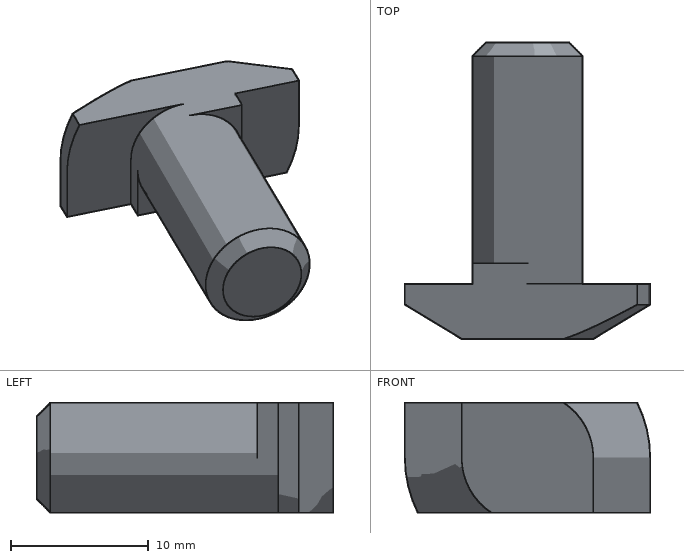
import cadquery as cq

total_length = 21.5
head_width = 17.8
shank_diameter = 8.0
head_thickness = 4.0
rim_thickness = 1.5
taper_run = 4.13
neck_depth = 1.5
end_chamfer = 0.99

head_radius = head_width / 2
face_radius = head_radius - taper_run
shank_radius = shank_diameter / 2
taper_depth = head_thickness - rim_thickness
neck_end = head_thickness + neck_depth


def half_section():
    """Half section of the head, from the axis out to +X."""
    return (
        cq.Workplane("XY")
        .moveTo(0, 0)
        .lineTo(face_radius, 0)
        .lineTo(head_radius, taper_depth)
        .lineTo(head_radius, head_thickness)
        .lineTo(0, head_thickness)
        .close()
    )


def half_turn(quadrant):
    """Copy a quadrant to the diagonally opposite side of the bolt axis."""
    return quadrant.union(quadrant.rotate((0, 0, 0), (0, 1, 0), 180))


def make_head():
    """Hammer head: two rounded quadrants and two square ones, cut to the shank height."""
    round_head = half_section().revolve(360, (0, 0, 0), (0, 1, 0))
    upper_right = cq.Workplane("XY").box(
        head_radius, head_thickness, shank_radius, centered=False
    )
    rounded = round_head.intersect(half_turn(upper_right))
    square = half_turn(half_section().extrude(-shank_radius))
    return rounded.union(square)


def make_neck():
    """Square corners under the head, in line with its square quadrants."""
    lower_right = cq.Workplane("XY").box(
        shank_radius, neck_end, shank_radius, centered=False
    ).translate((0, 0, -shank_radius))
    return half_turn(lower_right)


def make_shank():
    """Round shank with a chamfered free end."""
    return (
        cq.Workplane("XZ")
        .circle(shank_radius)
        .extrude(-total_length)
        .faces(">Y")
        .chamfer(end_chamfer)
    )


result = make_shank().union(make_head()).union(make_neck())